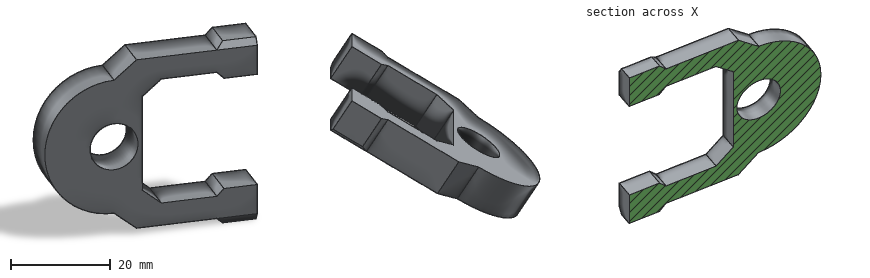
import cadquery as cq

thickness = 8.0
hub_radius = 14.5
hole_diameter = 10.0

tip_y = 30.0
pad_length = 7.0
pad_step = 1.5
arm_outer_z = 18.35
arm_width = 4.85
arm_root_outer_y = 4.7
arm_root_inner_y = 9.9
slot_floor_y = 5.9
slot_floor_half_height = 10.2
bevel_width = 0.9

arm_inner_z = arm_outer_z - arm_width
pad_outer_z = arm_outer_z + pad_step
pad_inner_z = arm_inner_z - pad_step
pad_root_y = tip_y - pad_length
pad_ramp_end_y = pad_root_y - pad_step
half_thickness = thickness / 2


def mirrored(points):
    """Reflect (y, z) points across the mid-plane, in reverse order."""
    return [(y, -z) for y, z in reversed(points)]


def fork_body():
    """Hub and two padded arms as one extruded outline."""
    upper_arm = [
        (0, hub_radius),
        (arm_root_outer_y, arm_outer_z),
        (pad_ramp_end_y, arm_outer_z),
        (pad_root_y, pad_outer_z),
        (tip_y, pad_outer_z),
        (tip_y, pad_inner_z),
        (pad_root_y, pad_inner_z),
        (pad_ramp_end_y, arm_inner_z),
        (arm_root_inner_y, arm_inner_z),
        (slot_floor_y, slot_floor_half_height),
    ]
    return (
        cq.Workplane("YZ", origin=(-half_thickness, 0, 0))
        .polyline(upper_arm + mirrored(upper_arm))
        .threePointArc((-hub_radius, 0), (0, hub_radius))
        .close()
        .extrude(thickness)
    )


def pivot_hole():
    """Cylinder that opens the through hole in the hub."""
    return (
        cq.Workplane("YZ", origin=(-half_thickness, 0, 0))
        .circle(hole_diameter / 2)
        .extrude(thickness)
    )


def pad_bevel(side):
    """Wedge that bevels the outer +X edge of one pad; side is +1 (top) or -1 (bottom)."""
    wedge = [
        (half_thickness - bevel_width, side * pad_outer_z),
        (half_thickness, side * pad_outer_z),
        (half_thickness, side * arm_outer_z),
    ]
    return (
        cq.Workplane("XZ", origin=(0, tip_y, 0))
        .polyline(wedge)
        .close()
        .extrude(tip_y - pad_ramp_end_y)
    )


result = fork_body().cut(pivot_hole())
for side in (1, -1):
    result = result.cut(pad_bevel(side))